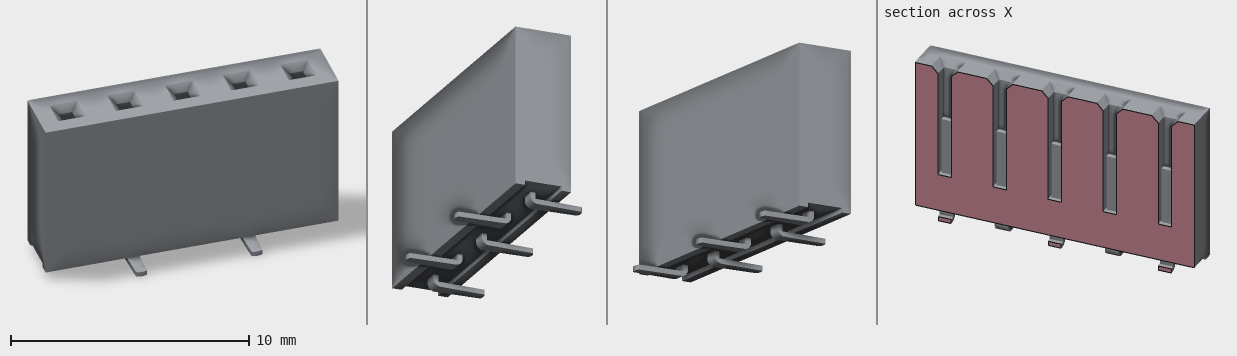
import cadquery as cq
import math

length = 12.9
width = 2.54
height = 7.4
standoff = 0.31
channel_width = 1.68
channel_depth = 0.19

contact_count = 5
pitch = 2.54

mouth_size = 1.2
bore_size = 0.59
funnel_depth = (mouth_size - bore_size) / 2
bore_depth = 5.16
blade_width = 0.46
blade_height = 2.58

thickness = 0.22
lead_width = 0.62
foot_reach = 2.32
tip_width = 0.48
tip_bulge = 0.06
bend_radius = 0.31

channel_top = standoff + channel_depth
bore_floor = height - bore_depth
contact_places = [(i - (contact_count - 1) / 2) * pitch for i in range(contact_count)]


def make_housing():
    """Solid block with a channel along the whole underside."""
    underside = cq.Workplane("XY", origin=(0, 0, standoff))
    block = underside.rect(width, length).extrude(height - standoff)
    channel = underside.rect(channel_width, length).extrude(channel_depth)
    return block.cut(channel)


def make_socket(y):
    """Square bore with a tapered mouth, leaving a contact blade standing on its floor."""
    funnel = (
        cq.Workplane("XY", origin=(0, y, height))
        .rect(mouth_size, mouth_size)
        .workplane(offset=-funnel_depth)
        .rect(bore_size, bore_size)
        .loft(ruled=True)
    )
    floor = cq.Workplane("XY", origin=(0, y, bore_floor))
    bore = floor.rect(bore_size, bore_size).extrude(bore_depth - funnel_depth)
    blade = floor.rect(thickness, blade_width).extrude(blade_height)
    return funnel.union(bore).cut(blade)


def make_lead(y, side):
    """Lead that drops from the channel and bends outward round its heel; side is -1 for -X, +1 for +X."""
    near = side * thickness / 2
    bend_end = side * bend_radius - near
    bend_mid_offset = bend_radius * (1 - math.sqrt(0.5))
    stem_and_bend = (
        cq.Workplane("XZ", origin=(0, y + lead_width / 2, 0))
        .moveTo(-near, channel_top)
        .lineTo(-near, bend_radius)
        .threePointArc((side * bend_mid_offset - near, bend_mid_offset), (bend_end, 0))
        .lineTo(bend_end, thickness)
        .lineTo(near, thickness)
        .lineTo(near, channel_top)
        .close()
        .extrude(lead_width)
    )
    tip_start = side * (foot_reach - tip_bulge)
    foot = (
        cq.Workplane("XY")
        .moveTo(bend_end, y - lead_width / 2)
        .lineTo(tip_start, y - tip_width / 2)
        .threePointArc((side * foot_reach, y), (tip_start, y + tip_width / 2))
        .lineTo(bend_end, y + lead_width / 2)
        .close()
        .extrude(thickness)
    )
    return stem_and_bend.union(foot)


result = make_housing()
for index, place in enumerate(contact_places):
    foot_side = -1 if index % 2 == 0 else 1
    result = result.cut(make_socket(place)).union(make_lead(place, foot_side))